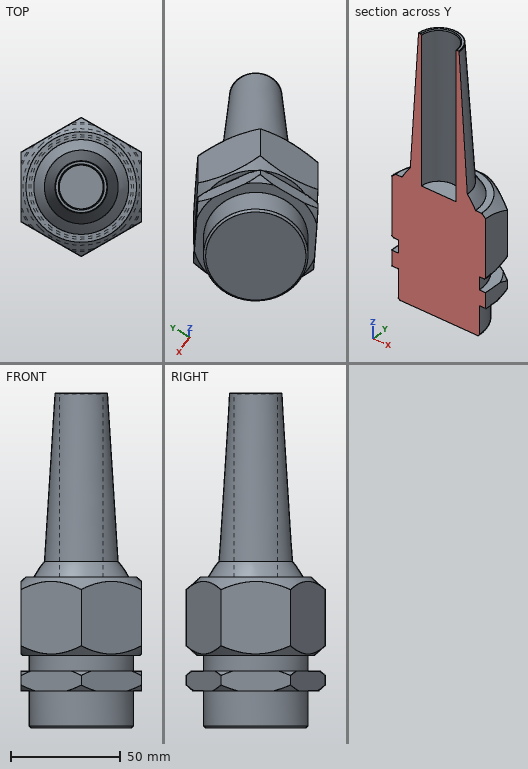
import cadquery as cq
import math

THREAD_TOP = 17.0
LOCKNUT_TOP = 26.0
CAP_BOTTOM = 33.0
CAP_TOP = 69.0
SLEEVE_BOTTOM = 76.0
TOTAL_HEIGHT = 153.0

BODY_DIAMETER = 47.8
BODY_CHAMFER = 1.0

ACROSS_CORNERS = 63.51
ACROSS_FLATS = 55.12
HEX_BEVEL_ANGLE = 41.5
CONE_CLEARANCE = 1.0
CAP_TOP_FACE_DIAMETER = 50.5
CAP_BOTTOM_FACE_DIAMETER = 53.3
LOCKNUT_TOP_FACE_DIAMETER = 59.0
LOCKNUT_BOTTOM_FACE_DIAMETER = 57.6

COLLAR_DIAMETER = 43.3
COLLAR_BULGE = 0.3

SLEEVE_BOTTOM_DIAMETER = 33.7
SLEEVE_TOP_DIAMETER = 24.0
SLEEVE_EDGE_CHAMFER = 0.3
BORE_DIAMETER = 20.0
BORE_CHAMFER = 0.5
BORE_BOTTOM = CAP_TOP


def bevelled_hexagon(bottom, top, bottom_face_diameter, top_face_diameter):
    """Hexagonal prism whose corners are turned down to a cone at both ends."""
    corner_y = ACROSS_CORNERS / 2
    side_x = ACROSS_FLATS / 2
    outline = [
        (0, corner_y),
        (-side_x, corner_y / 2),
        (-side_x, -corner_y / 2),
        (0, -corner_y),
        (side_x, -corner_y / 2),
        (side_x, corner_y / 2),
    ]
    prism = cq.Workplane("XY").workplane(offset=bottom).polyline(outline).close().extrude(top - bottom)
    outer_radius = ACROSS_CORNERS / 2 + CONE_CLEARANCE
    slope = math.tan(math.radians(HEX_BEVEL_ANGLE))
    bottom_drop = (outer_radius - bottom_face_diameter / 2) * slope
    top_drop = (outer_radius - top_face_diameter / 2) * slope
    envelope = (
        cq.Workplane("XZ")
        .moveTo(0, bottom)
        .lineTo(bottom_face_diameter / 2, bottom)
        .lineTo(outer_radius, bottom + bottom_drop)
        .lineTo(outer_radius, top - top_drop)
        .lineTo(top_face_diameter / 2, top)
        .lineTo(0, top)
        .close()
        .revolve(360, (0, 0), (0, 1))
    )
    return prism.intersect(envelope)


def threaded_body():
    """Plain cylinder from the bottom face up to the cap."""
    return (
        cq.Workplane("XY")
        .circle(BODY_DIAMETER / 2)
        .extrude(CAP_BOTTOM)
        .faces("<Z")
        .chamfer(BODY_CHAMFER)
    )


def collar_and_sleeve():
    """Domed collar and long tapered sleeve, revolved as one profile."""
    collar_radius = COLLAR_DIAMETER / 2
    sleeve_radius = SLEEVE_BOTTOM_DIAMETER / 2
    run = collar_radius - sleeve_radius
    rise = SLEEVE_BOTTOM - CAP_TOP
    chord = math.hypot(run, rise)
    arc_middle = (
        (collar_radius + sleeve_radius) / 2 + COLLAR_BULGE * rise / chord,
        (CAP_TOP + SLEEVE_BOTTOM) / 2 + COLLAR_BULGE * run / chord,
    )
    return (
        cq.Workplane("XZ")
        .moveTo(0, CAP_TOP)
        .lineTo(collar_radius, CAP_TOP)
        .threePointArc(arc_middle, (sleeve_radius, SLEEVE_BOTTOM))
        .lineTo(SLEEVE_TOP_DIAMETER / 2, TOTAL_HEIGHT)
        .lineTo(0, TOTAL_HEIGHT)
        .close()
        .revolve(360, (0, 0), (0, 1))
        .faces(">Z")
        .chamfer(SLEEVE_EDGE_CHAMFER)
    )


def bore():
    """Blind bore down the sleeve, widened by a small chamfer at its mouth."""
    radius = BORE_DIAMETER / 2
    return (
        cq.Workplane("XZ")
        .moveTo(0, BORE_BOTTOM)
        .lineTo(radius, BORE_BOTTOM)
        .lineTo(radius, TOTAL_HEIGHT - BORE_CHAMFER)
        .lineTo(radius + BORE_CHAMFER, TOTAL_HEIGHT)
        .lineTo(0, TOTAL_HEIGHT)
        .close()
        .revolve(360, (0, 0), (0, 1))
    )


locknut = bevelled_hexagon(
    THREAD_TOP, LOCKNUT_TOP, LOCKNUT_BOTTOM_FACE_DIAMETER, LOCKNUT_TOP_FACE_DIAMETER
)
cap = bevelled_hexagon(
    CAP_BOTTOM, CAP_TOP, CAP_BOTTOM_FACE_DIAMETER, CAP_TOP_FACE_DIAMETER
)

result = threaded_body().union(locknut).union(cap).union(collar_and_sleeve()).cut(bore())